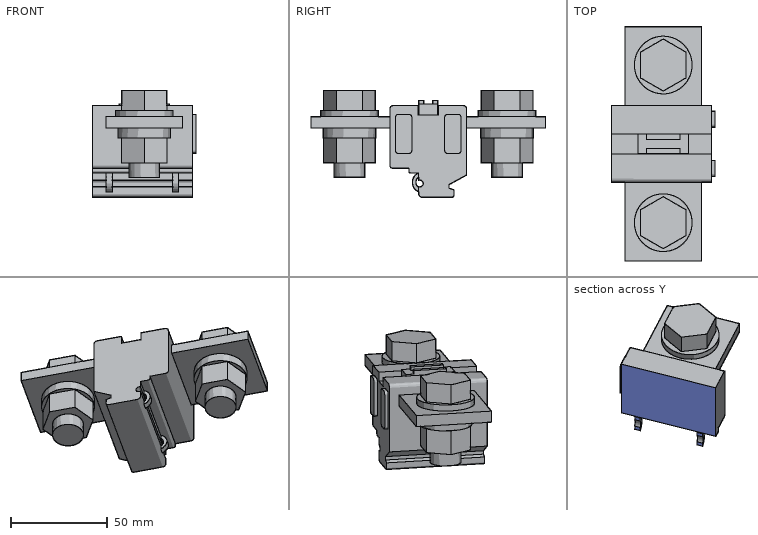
import cadquery as cq
import math

BAR_LENGTH = 122.0
BAR_WIDTH = 40.0
BAR_THICKNESS = 6.0
BAR_TOP = 42.0
BAR_BOTTOM = BAR_TOP - BAR_THICKNESS

TOTAL_WIDTH = 54.0
PAD_THICKNESS = 1.8
BODY_LEFT = -TOTAL_WIDTH / 2
BODY_WIDTH = TOTAL_WIDTH - PAD_THICKNESS
BODY_RIGHT = BODY_LEFT + BODY_WIDTH
BODY_DEPTH = 40.0
BODY_TOP = 47.8
BODY_FRONT = -BODY_DEPTH / 2
BODY_BACK = BODY_DEPTH / 2
TOP_RADIUS = 2.0

SHOULDER_Z = 15.1
SHOULDER_RADIUS = 1.5
STEP_Y = -10.1
STEP_Z = 12.6
STEP_RADIUS = 1.1

FOOT_FRONT = -5.0
FOOT_BACK = 13.4
FOOT_FRONT_RADIUS = 1.8
FOOT_BACK_RADIUS = 1.2
FOOT_BACK_HEIGHT = 3.9
NOTCH_Y = 10.9
NOTCH_BOTTOM = 4.8
NOTCH_TOP = 6.6
BACK_SLOPE_TOP = 11.6

CHANNEL_RADIUS = 1.7
CHANNEL_Y = FOOT_FRONT + 0.6
CHANNEL_Z = 7.2

CLIP_OUTER_RADIUS = 5.4
CLIP_INNER_RADIUS = 3.4
CLIP_Y = -2.9
CLIP_Z = 7.8
CLIP_WIDTH = 3.2
CLIP_CENTRES_X = (-18.2, 16.3)

GROOVE_WIDTH = 10.5
GROOVE_FLOOR = 43.0
HOLDER_LENGTH = 26.1
HOLDER_WIDTH = 10.0
HOLDER_TOP = 48.5
TAB_LENGTH = 17.3
TAB_WIDTH = 2.7
TAB_TOP = 50.4

PAD_DEPTH = 8.5
PAD_BOTTOM = 22.8
PAD_TOP = 43.2
PAD_RADIUS = 1.6
PAD_OFFSET_Y = 12.8

BOLT_OFFSET_Y = 41.0
HEX_FLATS = 23.4
HEX_CORNERS = HEX_FLATS / math.cos(math.radians(30))
BOLT_TOP = 55.6
WASHER_DIAMETER = 30.0
WASHER_THICKNESS = 3.3
SPRING_WASHER_DIAMETER = 27.5
SPRING_WASHER_THICKNESS = 5.1
NUT_HEIGHT = 12.9
STUD_DIAMETER = 16.1
STUD_BOTTOM = 10.4


def block(x_min, x_max, y_min, y_max, z_min, z_max):
    size = (x_max - x_min, y_max - y_min, z_max - z_min)
    return cq.Workplane("XY").box(*size, centered=False).translate((x_min, y_min, z_min))


def centred_block(length, width, z_min, z_max, y=0):
    return block(-length / 2, length / 2, y - width / 2, y + width / 2, z_min, z_max)


def round_edge(solid, y, z, radius):
    """Fillet the edge of the body profile that runs along X through (y, z)."""
    tolerance = 0.1
    corner = cq.selectors.BoxSelector(
        (BODY_LEFT - tolerance, y - tolerance, z - tolerance),
        (BODY_RIGHT + tolerance, y + tolerance, z + tolerance),
    )
    return solid.edges("|X").edges(corner).fillet(radius)


def make_body():
    outline = [
        (BODY_FRONT, BODY_TOP),
        (BODY_FRONT, SHOULDER_Z),
        (STEP_Y, SHOULDER_Z),
        (STEP_Y, STEP_Z),
        (FOOT_FRONT, STEP_Z),
        (FOOT_FRONT, 0),
        (FOOT_BACK, 0),
        (FOOT_BACK, FOOT_BACK_HEIGHT),
        (NOTCH_Y, NOTCH_BOTTOM),
        (NOTCH_Y, NOTCH_TOP),
        (BODY_BACK, BACK_SLOPE_TOP),
        (BODY_BACK, BODY_TOP),
    ]
    body = cq.Workplane("YZ", origin=(BODY_LEFT, 0, 0)).polyline(outline).close().extrude(BODY_WIDTH)
    body = round_edge(body, BODY_FRONT, BODY_TOP, TOP_RADIUS)
    body = round_edge(body, BODY_BACK, BODY_TOP, TOP_RADIUS)
    body = round_edge(body, BODY_FRONT, SHOULDER_Z, SHOULDER_RADIUS)
    body = round_edge(body, STEP_Y, STEP_Z, STEP_RADIUS)
    body = round_edge(body, FOOT_FRONT, 0, FOOT_FRONT_RADIUS)
    body = round_edge(body, FOOT_BACK, 0, FOOT_BACK_RADIUS)

    channel = (
        cq.Workplane("YZ", origin=(BODY_LEFT, 0, 0))
        .center(CHANNEL_Y, CHANNEL_Z)
        .circle(CHANNEL_RADIUS)
        .extrude(BODY_WIDTH)
    )
    groove = block(BODY_LEFT, BODY_RIGHT, -GROOVE_WIDTH / 2, GROOVE_WIDTH / 2, GROOVE_FLOOR, BODY_TOP)
    return body.cut(channel).cut(groove)


def make_clip(centre_x):
    """Ring segment that bulges forward from the front face of the foot, below the step."""
    left = centre_x - CLIP_WIDTH / 2
    ring = (
        cq.Workplane("YZ", origin=(left, 0, 0))
        .center(CLIP_Y, CLIP_Z)
        .circle(CLIP_OUTER_RADIUS)
        .circle(CLIP_INNER_RADIUS)
        .extrude(CLIP_WIDTH)
    )
    in_front_of_foot = block(left, left + CLIP_WIDTH, BODY_FRONT, FOOT_FRONT, 0, STEP_Z)
    return ring.intersect(in_front_of_foot)


def make_label_holder():
    holder = centred_block(HOLDER_LENGTH, HOLDER_WIDTH, GROOVE_FLOOR, HOLDER_TOP)
    tab_offset = (HOLDER_WIDTH - TAB_WIDTH) / 2
    for y in (-tab_offset, tab_offset):
        holder = holder.union(centred_block(TAB_LENGTH, TAB_WIDTH, HOLDER_TOP, TAB_TOP, y))
    return holder


def make_pad(y):
    pad = block(
        BODY_RIGHT, BODY_RIGHT + PAD_THICKNESS, y - PAD_DEPTH / 2, y + PAD_DEPTH / 2, PAD_BOTTOM, PAD_TOP
    )
    return pad.edges("|X").fillet(PAD_RADIUS)


def disc(diameter, y, z_min, z_max):
    return cq.Workplane("XY", origin=(0, y, z_min)).circle(diameter / 2).extrude(z_max - z_min)


def hexagon(y, z_min, z_max):
    """Hexagonal prism with two flats facing +X and -X."""
    prism = cq.Workplane("XY").polygon(6, HEX_CORNERS).extrude(z_max - z_min)
    return prism.rotate((0, 0, 0), (0, 0, 1), 90).translate((0, y, z_min))


def make_bolted_joint(y):
    head_bottom = BAR_TOP + WASHER_THICKNESS
    nut_top = BAR_BOTTOM - SPRING_WASHER_THICKNESS
    stud = disc(STUD_DIAMETER, y, STUD_BOTTOM, BOLT_TOP)
    head = hexagon(y, head_bottom, BOLT_TOP)
    washer = disc(WASHER_DIAMETER, y, BAR_TOP, head_bottom)
    spring_washer = disc(SPRING_WASHER_DIAMETER, y, nut_top, BAR_BOTTOM)
    nut = hexagon(y, nut_top - NUT_HEIGHT, nut_top)
    return stud.union(head).union(washer).union(spring_washer).union(nut)


result = make_body()
result = result.union(centred_block(BAR_WIDTH, BAR_LENGTH, BAR_BOTTOM, BAR_TOP))
result = result.union(make_label_holder())
for clip_x in CLIP_CENTRES_X:
    result = result.union(make_clip(clip_x))
for side in (-1, 1):
    result = result.union(make_pad(side * PAD_OFFSET_Y))
    result = result.union(make_bolted_joint(side * BOLT_OFFSET_Y))